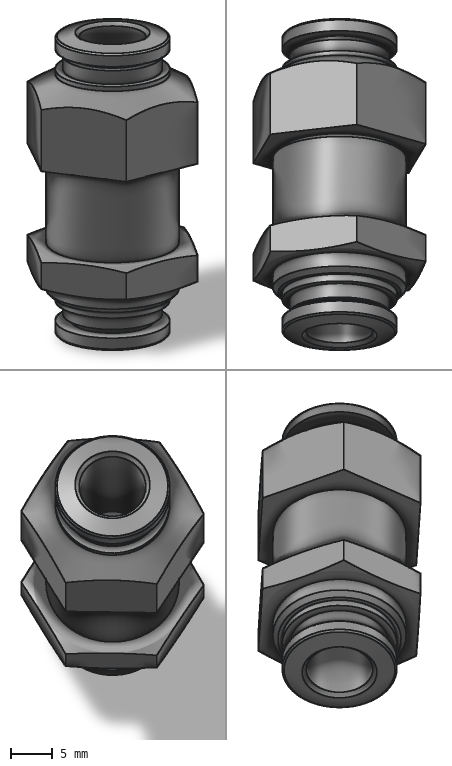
import cadquery as cq
import math

length = 38.4
across_flats = 19.0
corner_radius = across_flats / math.sqrt(3)

ring_radius = 13.8 / 2
ring_edge = 0.23
crown_drop = 0.42
ring_depth = 2.05
neck_radius = 10.0 / 2
neck_depth = 2.85
collar_radius = 12.0 / 2
collar_depth = 4.57
flange_radius = ring_radius

socket_radius = 8.0 / 2
socket_depth = 15.35
passage_radius = 5.5 / 2
mouth_radius = 4.5
mouth_throat_radius = 4.3
mouth_rim_depth = 0.2
mouth_depth = 0.45

body_radius = 16.0 / 2
body_bottom = 5.45
body_bottom_chamfer = 0.6
body_top_chamfer = 0.58

head_bottom = 23.1
shoulder_top = 33.25
shoulder_angle = 30.0

nut_bottom = 7.85
nut_top = 11.95
nut_face_radius = across_flats / 2
nut_chamfer_angle = 15.0


def cone_drop(inner_radius, outer_radius, angle):
    """Axial fall of a cone between two radii, at an angle from the horizontal."""
    return (outer_radius - inner_radius) * math.tan(math.radians(angle))


def revolve(points):
    """Turn a closed (radius, height) outline about Z."""
    return cq.Workplane("XZ").polyline(points).close().revolve(360, (0, 0), (0, 1))


def cylinder(radius, bottom, top):
    return cq.Workplane("XY").workplane(offset=bottom).circle(radius).extrude(top - bottom)


def hexagon(bottom, top):
    """Hexagonal prism with two flats facing +X and -X."""
    prism = cq.Workplane("XY").polygon(6, 2 * corner_radius).extrude(top - bottom)
    return prism.rotate((0, 0, 0), (0, 0, 1), 30).translate((0, 0, bottom))


def upper_end():
    """Stepped release sleeve and collar, down to the middle of the part."""
    outline = [
        (0, length / 2),
        (flange_radius, length / 2),
        (flange_radius, length - collar_depth),
        (collar_radius, length - collar_depth),
        (collar_radius, length - neck_depth),
        (neck_radius, length - neck_depth),
        (neck_radius, length - ring_depth),
        (ring_radius, length - ring_depth),
        (ring_radius, length - crown_drop - ring_edge),
        (ring_radius - ring_edge, length - crown_drop),
        (mouth_radius, length),
        (0, length),
    ]
    return revolve(outline)


def upper_socket():
    """Tube socket with a two-stage tapered mouth."""
    outline = [
        (0, length - socket_depth),
        (socket_radius, length - socket_depth),
        (socket_radius, length - mouth_depth),
        (mouth_throat_radius, length - mouth_rim_depth),
        (mouth_radius, length),
        (0, length),
    ]
    return revolve(outline)


def mirror_to_bottom(shape):
    return shape.rotate((0, 0, length / 2), (1, 0, length / 2), 180)


def body():
    shape = cylinder(body_radius, body_bottom, head_bottom)
    shape = shape.faces("<Z").chamfer(body_bottom_chamfer)
    return shape.faces(">Z").chamfer(body_top_chamfer)


def head():
    shoulder_edge = shoulder_top - cone_drop(flange_radius, corner_radius, shoulder_angle)
    envelope = revolve([
        (0, head_bottom),
        (corner_radius, head_bottom),
        (corner_radius, shoulder_edge),
        (flange_radius, shoulder_top),
        (0, shoulder_top),
    ])
    return hexagon(head_bottom, shoulder_top).intersect(envelope)


def nut():
    drop = cone_drop(nut_face_radius, corner_radius, nut_chamfer_angle)
    envelope = revolve([
        (0, nut_bottom),
        (nut_face_radius, nut_bottom),
        (corner_radius, nut_bottom + drop),
        (corner_radius, nut_top - drop),
        (nut_face_radius, nut_top),
        (0, nut_top),
    ])
    return hexagon(nut_bottom, nut_top).intersect(envelope)


solid = upper_end().union(mirror_to_bottom(upper_end()))
for piece in (body(), head(), nut()):
    solid = solid.union(piece)

solid = solid.cut(cylinder(passage_radius, 0, length))
solid = solid.cut(upper_socket())
result = solid.cut(mirror_to_bottom(upper_socket()))